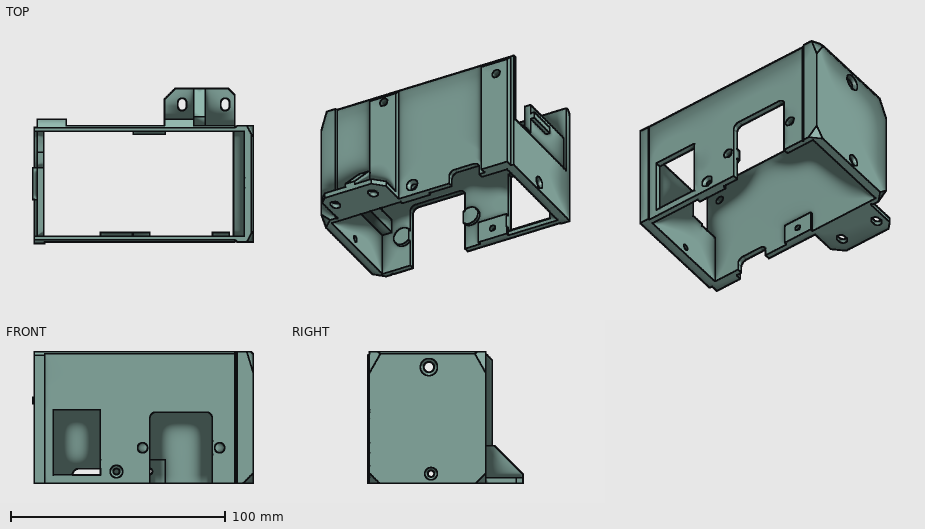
import cadquery as cq

LENGTH = 102.4
HEIGHT = 61.5
SKIN = 0.7

FRONT_FACE = SKIN
FRONT_INNER = 3.5
BACK_INNER = 52.4
BACK_FACE = 55.1
BACK_CORNER = BACK_FACE - SKIN
FRONT_CHAMFER_DROP = 1.75
BACK_PAD_FACE = 58.1
BACK_CHAMFER_TOP = 54.1

LEFT_SKIN = 1.4
LEFT_INNER = 4.6
RIGHT_INNER = 98.2
LEFT_SKIN_TOP = 26.4

GROOVE_START = 93.85
GROOVE_FLOOR = 0.35
END_EDGE_CHAMFER = 1.0
TOP_CUT = (3.0, 5.7, 10.0)
BOTTOM_CUT = (4.75, 4.75, 4.75)

LEDGE_START = 93.1
LEDGE_BOTTOM = 21.7
LEDGE_TOP = 28.7

FRONT_PAD_LENGTH = 4.9
BACK_PAD_END = 15.1
BRACKET_START = 60.9
GUSSET_START = 74.7
GUSSET_END = 79.9

PLATE_STEP_Y = (35.5, 42.6)
PLATE_TOP_Z = (45.1, 29.5, 28.5)
TONGUE_LENGTH = 15.0
TONGUE_OVERHANG = 0.6
TONGUE_BOTTOM = 37.2
TONGUE_TOP = 40.3

BRACKET_EDGE = 72.5
BRACKET_THICKNESS = 2.6
BRACKET_LEFT_CHAMFER = 5.1
BRACKET_RIGHT_CHAMFER = 3.1
SLOT_WIDTH = 4.0
SLOT_LENGTH = 5.7
SLOT_X = (69.2, 89.3)
SLOT_Y = 65.0
GUSSET_TOP = 17.6
GUSSET_FLAT_END = 59.2

WINDOW_X = (8.9, 31.0)
WINDOW_Z = (4.0, 34.3)
WINDOW_SILL_LIP = 1.0
ARCH_CENTER = 68.7
ARCH_WIDTH = 29.2
ARCH_HEIGHT = 33.3
ARCH_RADIUS = 3.0
SOCKET_OFFSET = 18.0
SOCKET_Z = 16.6
SOCKET_DIAMETER = 4.7
SOCKET_DEPTH = 3.5
SOCKET_BOSS_DIAMETER = 9.0
FRONT_BOSS_DEPTH = 1.7

CABLE_X = (18.0, 34.0)
CABLE_HEIGHT = 6.8
CABLE_RADIUS = 3.0

SCREW_DIAMETER = 2.9
SCREW_HEAD_DIAMETER = 5.8
CONE_DEPTH = 1.7
FRONT_SCREW_X = 38.5
BACK_SCREW_X = 53.8
LONG_SCREW_Z = 5.5
SHORT_SCREW_Y = 29.5
SHORT_SCREW_Z = 4.5
SCREW_PAD_WIDTH = 15.1
SCREW_PAD_HEIGHT = 11.1
BACK_BOSS_DEPTH = 1.4

BACK_HOLE_DIAMETER = 4.0
BACK_HOLES = ((7.3, 51.3), (67.3, 54.6))
RIGHT_HOLE_DIAMETER = 4.7
RIGHT_HOLE_HEAD_DIAMETER = 8.0
RIGHT_HOLE_Y = 28.5
RIGHT_HOLE_Z = 54.3


def block(x0, x1, y0, y1, z0, z1):
    """Axis-aligned box between two opposite corners."""
    return cq.Workplane("XY").box(x1 - x0, y1 - y0, z1 - z0, centered=False).translate((x0, y0, z0))


def along_x(points, x0, x1):
    """Prism with a (Y, Z) outline between two X positions."""
    return cq.Workplane("YZ").polyline(points).close().extrude(x1 - x0).translate((x0, 0, 0))


def cylinder(start, direction, diameter, length):
    """Solid cylinder from a start point along a direction."""
    solid = cq.Solid.makeCylinder(diameter / 2, length, cq.Vector(*start), cq.Vector(*direction))
    return cq.Workplane(obj=solid)


def countersunk_hole(start, direction, depth, diameter=SCREW_DIAMETER, head_diameter=SCREW_HEAD_DIAMETER):
    """Screw hole that opens into a cone at its start point."""
    cone = cq.Solid.makeCone(
        head_diameter / 2,
        diameter / 2,
        CONE_DEPTH,
        cq.Vector(*start),
        cq.Vector(*direction),
    )
    return cylinder(start, direction, diameter, depth).union(cq.Workplane(obj=cone))


def corner_cut(x, y, z, inward_y, inward_z, legs):
    """Tetrahedron that trims a corner of the right end face."""
    corner = cq.Vector(x, y, z)
    on_x = cq.Vector(x - legs[0], y, z)
    on_y = cq.Vector(x, y + inward_y * legs[1], z)
    on_z = cq.Vector(x, y, z + inward_z * legs[2])
    triangles = (
        (corner, on_x, on_y),
        (corner, on_y, on_z),
        (corner, on_z, on_x),
        (on_x, on_y, on_z),
    )
    faces = [cq.Face.makeFromWires(cq.Wire.makePolygon(list(t), close=True)) for t in triangles]
    return cq.Workplane(obj=cq.Solid.makeSolid(cq.Shell.makeShell(faces)))


def make_outer_body():
    """Solid outer form: grooved plan outline plus the raised pads."""
    groove_end = GROOVE_START + GROOVE_FLOOR
    outline = [
        (0, 0),
        (FRONT_PAD_LENGTH, 0),
        (FRONT_PAD_LENGTH, FRONT_FACE),
        (GROOVE_START, FRONT_FACE),
        (GROOVE_START, FRONT_FACE + SKIN),
        (groove_end, FRONT_FACE + SKIN),
        (groove_end + SKIN, FRONT_FACE),
        (LENGTH, FRONT_FACE),
        (LENGTH, BACK_FACE),
        (groove_end + SKIN, BACK_FACE),
        (groove_end, BACK_CORNER),
        (GROOVE_START, BACK_CORNER),
        (GROOVE_START, BACK_FACE),
        (GUSSET_START, BACK_FACE),
        (GUSSET_START, BACK_PAD_FACE),
        (BRACKET_START, BACK_PAD_FACE),
        (BRACKET_START, BACK_FACE),
        (BACK_PAD_END, BACK_FACE),
        (BACK_PAD_END, BACK_PAD_FACE),
        (LEFT_SKIN, BACK_PAD_FACE),
        (LEFT_SKIN, BACK_CORNER),
        (0, BACK_CORNER),
    ]
    body = cq.Workplane("XY").polyline(outline).close().extrude(HEIGHT)
    front_bevel = along_x(
        [(0, HEIGHT - FRONT_CHAMFER_DROP), (0, HEIGHT), (FRONT_CHAMFER_DROP, HEIGHT)],
        0,
        GROOVE_START,
    )
    back_drop = BACK_PAD_FACE - BACK_CHAMFER_TOP
    back_bevel = along_x(
        [(BACK_CHAMFER_TOP, HEIGHT), (BACK_PAD_FACE, HEIGHT), (BACK_PAD_FACE, HEIGHT - back_drop)],
        0,
        GROOVE_START,
    )
    return body.cut(front_bevel).cut(back_bevel)


def trim_end_block(body):
    """Chamfer the top edge of the right end and cut its four corners."""
    body = body.faces(">X").edges(">Z").chamfer(END_EDGE_CHAMFER)
    for y, inward_y in ((FRONT_FACE, 1), (BACK_FACE, -1)):
        body = body.cut(corner_cut(LENGTH, y, HEIGHT, inward_y, -1, TOP_CUT))
        body = body.cut(corner_cut(LENGTH, y, 0, inward_y, 1, BOTTOM_CUT))
    return body


def shape_left_wall(body):
    """Cut the left wall down to its stepped plate and add the tongue."""
    low_y, mid_y = PLATE_STEP_Y
    high_z, mid_z, low_z = PLATE_TOP_Z
    body = body.cut(block(0, LEFT_SKIN, FRONT_INNER, BACK_INNER, LEFT_SKIN_TOP, HEIGHT))
    body = body.cut(block(0, LEFT_INNER, FRONT_INNER, BACK_INNER, high_z, HEIGHT))
    body = body.cut(block(0, LEFT_INNER, low_y, BACK_INNER, mid_z, HEIGHT))
    body = body.cut(block(0, LEFT_INNER, mid_y, BACK_INNER, low_z, HEIGHT))
    tongue = block(-TONGUE_OVERHANG, LEFT_SKIN, low_y - TONGUE_LENGTH, low_y, TONGUE_BOTTOM, TONGUE_TOP)
    return body.union(tongue)


def make_bracket():
    """Slotted foot behind the back wall with its sloped gusset."""
    bracket = cq.Workplane("XY").polyline([
        (BRACKET_START, BACK_INNER),
        (GROOVE_START, BACK_INNER),
        (GROOVE_START, BRACKET_EDGE - BRACKET_RIGHT_CHAMFER),
        (GROOVE_START - BRACKET_RIGHT_CHAMFER, BRACKET_EDGE),
        (BRACKET_START + BRACKET_LEFT_CHAMFER, BRACKET_EDGE),
        (BRACKET_START, BRACKET_EDGE - BRACKET_LEFT_CHAMFER),
    ]).close().extrude(BRACKET_THICKNESS)
    slots = (
        cq.Workplane("XY")
        .pushPoints([(x, SLOT_Y) for x in SLOT_X])
        .slot2D(SLOT_LENGTH, SLOT_WIDTH, 90)
        .extrude(BRACKET_THICKNESS)
    )
    gusset = along_x(
        [
            (BACK_INNER, 0),
            (BRACKET_EDGE, 0),
            (BRACKET_EDGE, GUSSET_TOP - (BRACKET_EDGE - GUSSET_FLAT_END)),
            (GUSSET_FLAT_END, GUSSET_TOP),
            (BACK_INNER, GUSSET_TOP),
        ],
        GUSSET_START,
        GUSSET_END,
    )
    return bracket.cut(slots).union(gusset)


def screw_pad(x, y0, y1):
    """Raised pad on the inside of a long wall around a screw hole."""
    return block(x - SCREW_PAD_WIDTH / 2, x + SCREW_PAD_WIDTH / 2, y0, y1, 0, SCREW_PAD_HEIGHT)


def add_inner_features(body):
    """Right wall ledge, screw pads and socket bosses inside the box."""
    boss_end = FRONT_INNER + FRONT_BOSS_DEPTH
    body = body.union(block(LEDGE_START, RIGHT_INNER, FRONT_INNER, BACK_INNER, LEDGE_BOTTOM, LEDGE_TOP))
    body = body.union(screw_pad(FRONT_SCREW_X, FRONT_INNER, boss_end))
    body = body.union(screw_pad(BACK_SCREW_X, BACK_INNER - BACK_BOSS_DEPTH, BACK_INNER))
    for side in (-1, 1):
        start = (ARCH_CENTER + side * SOCKET_OFFSET, FRONT_INNER, SOCKET_Z)
        body = body.union(cylinder(start, (0, 1, 0), SOCKET_BOSS_DIAMETER, FRONT_BOSS_DEPTH))
    return body


def arch(x0, x1, y0, y1, height, radius):
    """Opening through a long wall, open at the bottom, with round top corners."""
    return block(x0, x1, y0, y1, 0, height).edges("|Y and >Z").fillet(radius)


def cut_openings(body):
    """Window, arch, cable opening and sockets of the long walls."""
    boss_end = FRONT_INNER + FRONT_BOSS_DEPTH
    half_arch = ARCH_WIDTH / 2
    body = body.cut(block(*WINDOW_X, 0, boss_end, *WINDOW_Z))
    sill = WINDOW_Z[0]
    lip_end = FRONT_FACE + WINDOW_SILL_LIP
    sill_bevel = along_x(
        [(lip_end, sill), (FRONT_INNER, sill), (FRONT_INNER, sill - (FRONT_INNER - lip_end))],
        *WINDOW_X,
    )
    body = body.cut(sill_bevel)
    body = body.cut(
        arch(ARCH_CENTER - half_arch, ARCH_CENTER + half_arch, 0, boss_end, ARCH_HEIGHT, ARCH_RADIUS)
    )
    body = body.cut(arch(*CABLE_X, BACK_INNER, BACK_FACE, CABLE_HEIGHT, CABLE_RADIUS))
    for side in (-1, 1):
        start = (ARCH_CENTER + side * SOCKET_OFFSET, FRONT_FACE, SOCKET_Z)
        body = body.cut(cylinder(start, (0, 1, 0), SOCKET_DIAMETER, SOCKET_DEPTH))
    return body


def cut_holes(body):
    """Countersunk screw holes in all four walls and the holes near the top."""
    long_depth = FRONT_INNER + FRONT_BOSS_DEPTH - FRONT_FACE
    back_depth = BACK_FACE - BACK_INNER + BACK_BOSS_DEPTH
    right_depth = LENGTH - RIGHT_INNER
    holes = [
        countersunk_hole((FRONT_SCREW_X, FRONT_FACE, LONG_SCREW_Z), (0, 1, 0), long_depth),
        countersunk_hole((BACK_SCREW_X, BACK_FACE, LONG_SCREW_Z), (0, -1, 0), back_depth),
        countersunk_hole((0, SHORT_SCREW_Y, SHORT_SCREW_Z), (1, 0, 0), LEFT_INNER),
        countersunk_hole((LENGTH, SHORT_SCREW_Y, SHORT_SCREW_Z), (-1, 0, 0), right_depth),
        countersunk_hole(
            (LENGTH, RIGHT_HOLE_Y, RIGHT_HOLE_Z),
            (-1, 0, 0),
            right_depth,
            RIGHT_HOLE_DIAMETER,
            RIGHT_HOLE_HEAD_DIAMETER,
        ),
    ]
    for x, z in BACK_HOLES:
        depth = BACK_PAD_FACE - BACK_INNER
        holes.append(cylinder((x, BACK_INNER, z), (0, 1, 0), BACK_HOLE_DIAMETER, depth))
    for hole in holes:
        body = body.cut(hole)
    return body


shell = trim_end_block(make_outer_body())
shell = shell.cut(block(LEFT_INNER, RIGHT_INNER, FRONT_INNER, BACK_INNER, 0, HEIGHT))
shell = shape_left_wall(shell)
shell = shell.union(make_bracket())
shell = add_inner_features(shell)
shell = cut_openings(shell)
result = cut_holes(shell)